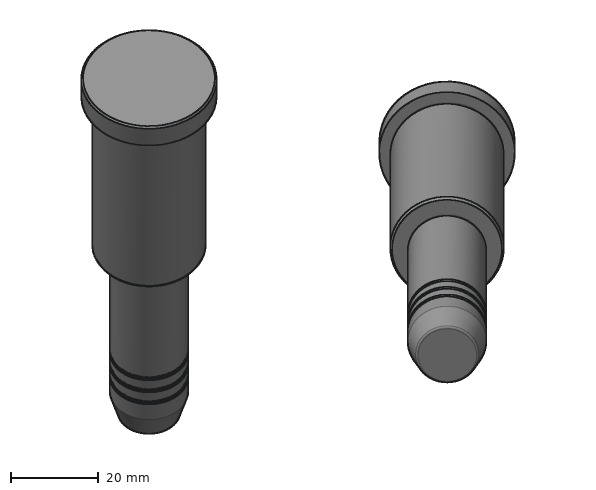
import cadquery as cq
import math

total_length = 111
head_radius = 15.48
head_height = 6.0
head_chamfer = 0.4
shoulder_radius = 13.0
shoulder_bottom = 55.0
shoulder_chamfer_height = 0.8
shoulder_chamfer_inset = 0.4
pin_radius = 9.0
tip_length = 7.0
tip_angle = 15
tip_rounding = 0.5

groove_width = 1.0
neck_depth = 0.5
ring_depth = 0.4
groove_root_radius = 0.39
first_ring_bottom = 12.0
ring_pitch = 4.0
ring_count = 3

head_bottom = total_length - head_height
tip_radius = pin_radius - tip_length * math.tan(math.radians(tip_angle))


def cylinder(radius, bottom, top):
    return cq.Workplane("XY").workplane(offset=bottom).circle(radius).extrude(top - bottom)


def groove(outer_radius, depth, bottom):
    """Ring-shaped cutter for a groove whose upper root corner is rounded."""
    return (
        cq.Workplane("XY")
        .workplane(offset=bottom)
        .circle(outer_radius)
        .circle(outer_radius - depth)
        .extrude(groove_width)
        .faces(">Z")
        .edges(cq.selectors.RadiusNthSelector(0))
        .fillet(groove_root_radius)
    )


head = cylinder(head_radius, head_bottom, total_length).faces(">Z").chamfer(head_chamfer)
shoulder = (
    cylinder(shoulder_radius, shoulder_bottom, head_bottom)
    .faces("<Z")
    .chamfer(shoulder_chamfer_height, shoulder_chamfer_inset)
)
pin = cylinder(pin_radius, tip_length, shoulder_bottom)

tip = (
    cq.Workplane("XY")
    .circle(tip_radius)
    .workplane(offset=tip_length)
    .circle(pin_radius)
    .loft(ruled=True)
    .faces("<Z")
    .fillet(tip_rounding)
)

result = head.union(shoulder).union(pin).union(tip)

result = result.cut(groove(shoulder_radius, neck_depth, head_bottom - groove_width))
result = result.cut(groove(pin_radius, neck_depth, shoulder_bottom - groove_width))

for index in range(ring_count):
    result = result.cut(groove(pin_radius, ring_depth, first_ring_bottom + index * ring_pitch))